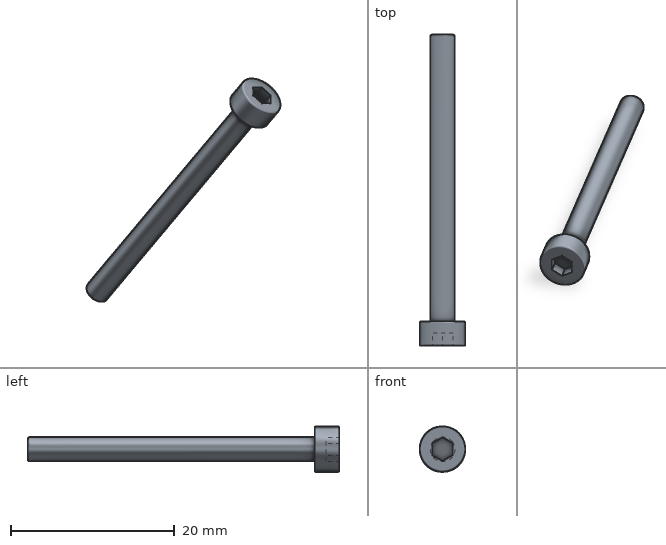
import cadquery as cq
import math

total_length = 38.0
head_diameter = 5.6
head_height = 3.0
shank_diameter = 3.0
head_front_fillet = 0.23
head_back_fillet = 0.2
tip_fillet = 0.3
socket_flat_width = 2.5
socket_depth = 1.65

shank_length = total_length - head_height
head_front_y = -total_length / 2
head_back_y = head_front_y + head_height


def cylinder_along_y(start_y, diameter, length):
    """Round bar centred on the Y axis, running from start_y towards +Y."""
    plane = cq.Plane(origin=(0, start_y, 0), xDir=(1, 0, 0), normal=(0, 1, 0))
    return cq.Workplane(plane).circle(diameter / 2).extrude(length)


def make_head():
    head = cylinder_along_y(head_front_y, head_diameter, head_height)
    head = head.faces("<Y").edges().fillet(head_front_fillet)
    return head.faces(">Y").edges().fillet(head_back_fillet)


def make_shank():
    shank = cylinder_along_y(head_back_y, shank_diameter, shank_length)
    return shank.faces(">Y").edges().fillet(tip_fillet)


def make_hex_socket():
    """Hexagonal recess with two corners pointing along Z."""
    corner_diameter = socket_flat_width / math.cos(math.pi / 6)
    plane = cq.Plane(origin=(0, head_front_y, 0), xDir=(0, 0, 1), normal=(0, 1, 0))
    return cq.Workplane(plane).polygon(6, corner_diameter).extrude(socket_depth)


result = make_head().union(make_shank()).cut(make_hex_socket())